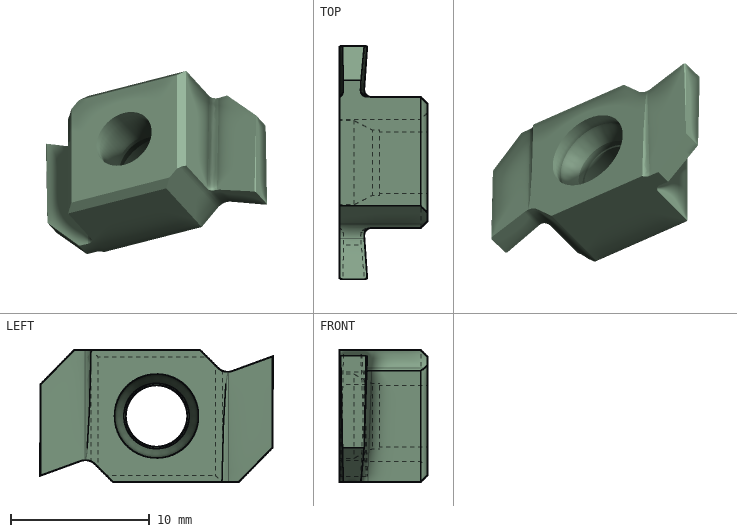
import cadquery as cq
import math

length = 16.8
height = 9.53
depth = 6.35
half_length = length / 2
half_height = height / 2

body_half_width = 4.72
body_chamfer = 0.5

top_corner_y = 5.91
notch_corner_y = 3.12
tip_z = -4.32
rake_slope = math.tan(math.radians(20))
notch_radius = 1.0
end_relief = 0.05
relief_corner_z = half_height - (half_length - top_corner_y)

wing_blank = 2.52
tip_width = 2.02
side_relief = math.tan(math.radians(2))
side_taper = math.tan(math.radians(4))
root_radius = 0.5
back_root_y = 5.15
tip_bevel_x = 0.1
tip_bevel_y = 0.08

seat_radius = 3.02
seat_depth = 1.05
cone_end_depth = 2.35
neck_radius = 2.35
neck_depth = 2.85
bore_radius = 2.2

clearance = 3.36
search_margin = 0.17


def half_turn(shape):
    return shape.rotate((0, 0, 0), (1, 0, 0), 180)


def rake_z(y):
    """Height of the cutting edge of the +Y wing."""
    return tip_z + rake_slope * (half_length - y)


def back_x(y, z):
    """X = 0 side of the +Y wing, leaning in behind the cutting edge."""
    return side_relief * (z - rake_z(y))


def front_x(y, z):
    """Opposite side of the +Y wing, tapering towards the root."""
    return tip_width - side_taper * (half_length - y) - back_x(y, z)


def notch_selector(y, z, thickness):
    """Pick the edge along X at the given Y and Z."""
    low = (0, y - search_margin, z - search_margin)
    high = (thickness, y + search_margin, z + search_margin)
    return cq.selectors.BoxSelector(low, high)


def make_outline(thickness):
    notch_y = (rake_z(0) + half_height + notch_corner_y) / (1 + rake_slope)
    half_points = [
        (-notch_corner_y, half_height),
        (top_corner_y, half_height),
        (half_length - end_relief, relief_corner_z),
        (half_length, tip_z),
        (notch_y, rake_z(notch_y)),
    ]
    points = half_points + [(-y, -z) for y, z in half_points]
    plate = cq.Workplane("YZ").polyline(points).close().extrude(thickness)
    upper_edge = notch_selector(-notch_y, -rake_z(notch_y), thickness)
    lower_edge = notch_selector(notch_y, rake_z(notch_y), thickness)
    return plate.edges(upper_edge + lower_edge).fillet(notch_radius)


def make_body():
    block = (
        cq.Workplane("YZ")
        .rect(2 * body_half_width, height)
        .extrude(depth)
        .faces(">X")
        .chamfer(body_chamfer)
    )
    return block.intersect(make_outline(depth))


def loft_sections(section):
    """Join the cutter sections below and above the part."""
    wires = [section(z) for z in (-height, height)]
    return cq.Workplane(cq.Solid.makeLoft(wires, True))


def side_section(z, root_y, side_x, outward):
    """Clear one wing side, leaving a round at the root; outward is -1 or +1 along X."""
    plane = cq.Workplane("XY", origin=(0, 0, z))
    outer_y = half_length + clearance
    root_x = side_x(root_y, z)
    outer_x = root_x + outward * (depth + clearance)
    wall_y = root_y - root_radius
    center_x = root_x + outward * root_radius
    diagonal = root_radius * math.sqrt(0.5)
    return (
        plane.moveTo(outer_x, outer_y)
        .lineTo(side_x(outer_y, z), outer_y)
        .lineTo(root_x, root_y)
        .threePointArc((center_x - outward * diagonal, root_y - diagonal), (center_x, wall_y))
        .lineTo(outer_x, wall_y)
        .close()
        .val()
    )


def make_tip_bevel(side_x, inward):
    """Sliver at a tip corner that fades out along the end face; inward is -1 or +1 along X."""
    inset_y = half_length - tip_bevel_y
    corner = cq.Vector(side_x(half_length, tip_z), half_length, tip_z)
    on_end = corner + cq.Vector(inward * tip_bevel_x, 0, 0)
    on_side = cq.Vector(side_x(inset_y, rake_z(inset_y)), inset_y, rake_z(inset_y))
    fade_y = half_length - end_relief
    fade = cq.Vector(side_x(fade_y, relief_corner_z), fade_y, relief_corner_z)
    triangles = [
        (corner, on_end, on_side),
        (corner, on_end, fade),
        (corner, on_side, fade),
        (on_end, on_side, fade),
    ]
    faces = [cq.Face.makeFromWires(cq.Wire.makePolygon(t, close=True)) for t in triangles]
    return cq.Workplane(cq.Solid.makeSolid(cq.Shell.makeShell(faces)))


def make_hole():
    profile = [
        (0, 0),
        (0, seat_radius),
        (seat_depth, seat_radius),
        (cone_end_depth, neck_radius),
        (neck_depth, neck_radius),
        (neck_depth, bore_radius),
        (depth, bore_radius),
        (depth, 0),
    ]
    return cq.Workplane("XY").polyline(profile).close().revolve(360, (0, 0, 0), (1, 0, 0))


wing_cutters = [
    loft_sections(lambda z: side_section(z, back_root_y, back_x, -1)),
    loft_sections(lambda z: side_section(z, body_half_width + root_radius, front_x, 1)),
    make_tip_bevel(back_x, 1),
    make_tip_bevel(front_x, -1),
]

result = make_body().union(make_outline(wing_blank))
for cutter in wing_cutters:
    result = result.cut(cutter).cut(half_turn(cutter))
result = result.cut(make_hole())